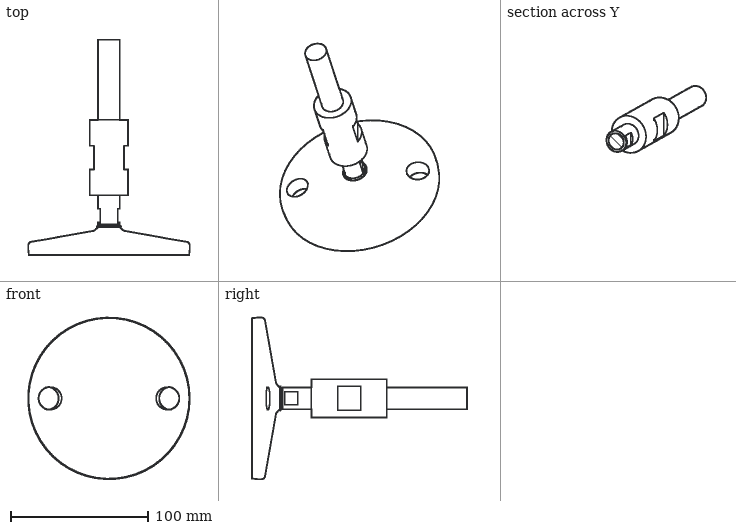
import cadquery as cq
import math


TOTAL_LENGTH = 157.0

FOOT_RADIUS = 117.98 / 2
RIM_DRAFT = 0.5
RIM_DRAFT_TOP = 4.0
SHOULDER_REACH = 2.3
CONE_ANGLE = 10.0
HUB_FOOT_RADIUS = 11.6
HUB_FOOT_Y = 17.7
FLARE_RADIUS = 10.3
FLARE_Y = 18.25
FLARE_ANGLE = 42.0
HUB_NECK_RADIUS = 8.0
LIP_RADIUS = 9.0
LIP_Y = 20.9
HUB_TOP_Y = 22.0

HOLE_DIAMETER = 16.5
HOLE_CENTER_X = 42.8

SPINDLE_RADIUS = 16.0 / 2
SPINDLE_NECK_RADIUS = 6.2
SPINDLE_SHOULDER_Y = 22.5
SPINDLE_FLAT_WIDTH = 13.0
SPINDLE_FLAT_LENGTH = 9.5
SPINDLE_FLAT_START_Y = 24.1

SLEEVE_RADIUS = 28.0 / 2
SLEEVE_LENGTH = 55.0
SLEEVE_START_Y = 43.5
SLEEVE_FLAT_WIDTH = 22.0
SLEEVE_FLAT_LENGTH = 17.0


def revolve_about_y(outline):
    return outline.close().revolve(360, (0, 0, 0), (0, 1, 0))


def cylinder(radius, start_y, length):
    """Cylinder on the Y axis."""
    return cq.Workplane("XZ", origin=(0, start_y, 0)).circle(radius).extrude(-length)


def cut_wrench_flats(body, radius, width, start_y, length):
    """Cut two parallel flats, facing -X and +X, that leave the given width across them."""
    depth = radius - width / 2
    for side in (-1, 1):
        center = (side * (width + depth) / 2, start_y + length / 2, 0)
        body = body.cut(cq.Workplane(origin=center).box(depth, length, 2 * radius))
    return body


def make_foot():
    lean = math.radians(CONE_ANGLE)
    corner_y = HUB_FOOT_Y - (FOOT_RADIUS - HUB_FOOT_RADIUS) * math.tan(lean)
    shoulder_radius = FOOT_RADIUS - SHOULDER_REACH * math.cos(lean)
    shoulder_y = corner_y + SHOULDER_REACH * math.sin(lean)
    hub_neck_y = FLARE_Y + (FLARE_RADIUS - HUB_NECK_RADIUS) * math.tan(math.radians(FLARE_ANGLE))
    outline = (
        cq.Workplane("XY")
        .lineTo(FOOT_RADIUS - RIM_DRAFT, 0)
        .lineTo(FOOT_RADIUS, RIM_DRAFT_TOP)
        .lineTo(FOOT_RADIUS, corner_y - SHOULDER_REACH)
        .tangentArcPoint((shoulder_radius, shoulder_y), relative=False)
        .lineTo(HUB_FOOT_RADIUS, HUB_FOOT_Y)
        .tangentArcPoint((FLARE_RADIUS, FLARE_Y), relative=False)
        .lineTo(HUB_NECK_RADIUS, hub_neck_y)
        .lineTo(LIP_RADIUS, LIP_Y)
        .lineTo(SPINDLE_NECK_RADIUS, HUB_TOP_Y)
        .lineTo(0, HUB_TOP_Y)
    )
    foot = revolve_about_y(outline)

    drill_length = 2 * HUB_TOP_Y
    for side in (-1, 1):
        axis = cq.Vector(side * math.sin(lean), math.cos(lean), 0)
        start = cq.Vector(side * HOLE_CENTER_X, 0, 0) - axis * (drill_length / 2)
        foot = foot.cut(cq.Workplane(cq.Solid.makeCylinder(HOLE_DIAMETER / 2, drill_length, start, axis)))
    return foot


def make_spindle():
    neck = cylinder(SPINDLE_NECK_RADIUS, HUB_TOP_Y, SPINDLE_SHOULDER_Y - HUB_TOP_Y)
    shaft = cylinder(SPINDLE_RADIUS, SPINDLE_SHOULDER_Y, TOTAL_LENGTH - SPINDLE_SHOULDER_Y)
    return cut_wrench_flats(
        neck.union(shaft), SPINDLE_RADIUS, SPINDLE_FLAT_WIDTH, SPINDLE_FLAT_START_Y, SPINDLE_FLAT_LENGTH
    )


def make_sleeve():
    barrel = cylinder(SLEEVE_RADIUS, SLEEVE_START_Y, SLEEVE_LENGTH)
    bore = cylinder(SPINDLE_RADIUS, SLEEVE_START_Y, SLEEVE_LENGTH)
    flat_start_y = SLEEVE_START_Y + (SLEEVE_LENGTH - SLEEVE_FLAT_LENGTH) / 2
    return cut_wrench_flats(
        barrel.cut(bore), SLEEVE_RADIUS, SLEEVE_FLAT_WIDTH, flat_start_y, SLEEVE_FLAT_LENGTH
    )


foot = make_foot()
spindle = make_spindle()
sleeve = make_sleeve()

result = cq.Compound.makeCompound([foot.val(), spindle.val(), sleeve.val()])